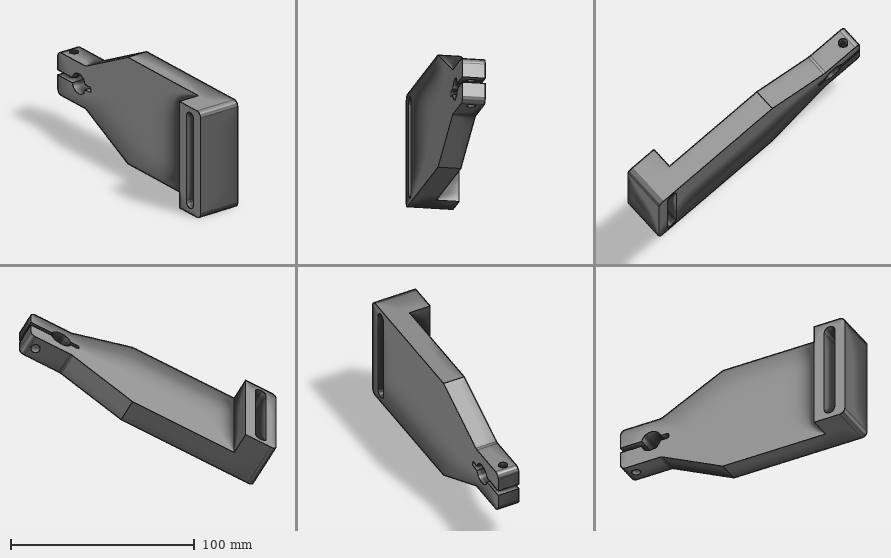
import cadquery as cq

length = 146.0
depth = 25.4
width = 63.5

plate_thickness = depth / 2
block_length = 19.0
corner_radius = 3.2

arm_width = 25.4
arm_length = 25.4
flare_end = 63.5

bore_diameter = 12.0
bore_x = 19.0
slit_width = 3.0
slit_end = 30.1
screw_diameter = 5.0
screw_x = 6.4

slot_width = 6.5
slot_length = 57.1
slot_x = length - block_length / 2


def make_body():
    """Flared plate with a thicker mounting block, standing on the XZ plane."""
    half_arm = arm_width / 2
    half_width = width / 2
    outline = [
        (0, -half_arm),
        (arm_length, -half_arm),
        (flare_end, -half_width),
        (length, -half_width),
        (length, half_width),
        (flare_end, half_width),
        (arm_length, half_arm),
        (0, half_arm),
    ]
    plate = cq.Workplane("XZ").polyline(outline).close().extrude(plate_thickness)
    block = (
        cq.Workplane("XZ")
        .center(slot_x, 0)
        .rect(block_length, width)
        .extrude(depth)
    )
    body = plate.union(block)
    for corner_x in (0, arm_length, length):
        body = body.edges(cq.selectors.BoxSelector(
            (corner_x - 1.5, -depth, -width),
            (corner_x + 1.5, 0, width),
        )).edges("|Y").fillet(corner_radius)
    return body


def cut_clamp(body):
    """Split the arm with a bore and a round-ended slit, then drill across it."""
    bore = cq.Workplane("XZ").center(bore_x, 0).circle(bore_diameter / 2).extrude(depth)
    slit_length = 2 * slit_end
    slit = cq.Workplane("XZ").slot2D(slit_length, slit_width).extrude(depth)
    screw_hole = (
        cq.Workplane("XY", origin=(screw_x, -plate_thickness / 2, 0))
        .circle(screw_diameter / 2)
        .extrude(width / 2, both=True)
    )
    return body.cut(bore).cut(slit).cut(screw_hole)


def cut_adjustment_slot(body):
    """Cut the long slot through the full depth of the mounting block."""
    slot = cq.Workplane("XZ").center(slot_x, 0).slot2D(slot_length, slot_width, 90).extrude(depth)
    return body.cut(slot)


result = cut_adjustment_slot(cut_clamp(make_body()))